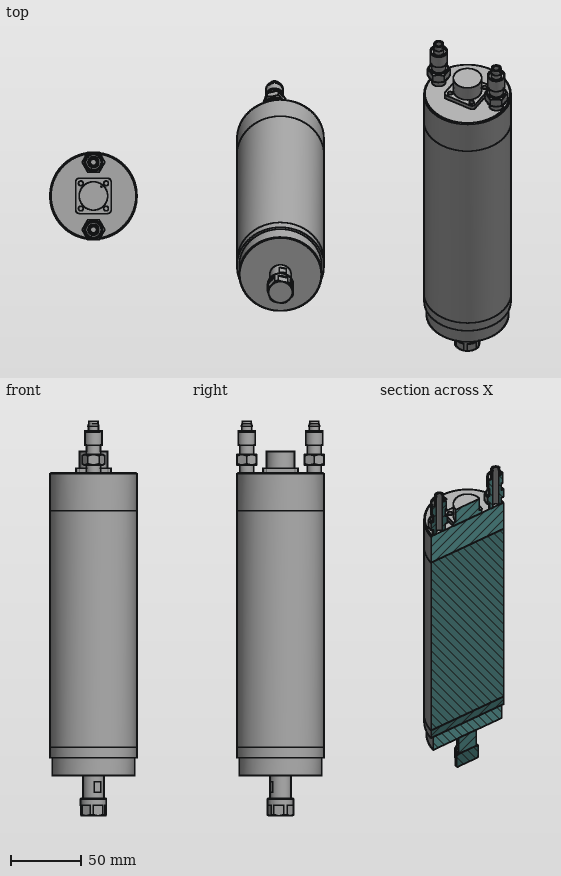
import cadquery as cq
import math

NUT_TOP = 12.5
NOSE_BOTTOM = 28.5
RING_BOTTOM = 41.3
HOUSING_BOTTOM = 49.0
CAP_BOTTOM = 217.2
CAP_TOP = 244.2
OVERALL_TOP = 281.0

HOUSING_DIAMETER = 62.0
CAP_CHAMFER = 0.8
NOSE_DIAMETER = 59.0
NOSE_CHAMFER = 0.5

SPINDLE_ANGLE = 22.5

SHAFT_DIAMETER = 15.2
SHAFT_ACROSS_FLATS = 14.3
SHAFT_FLAT_COUNT = 2
SHAFT_FLAT_BOTTOM = 17.0
SHAFT_FLAT_TOP = 24.2

NUT_DIAMETER = 18.5
NUT_ACROSS_FLATS = 17.1
NUT_FLAT_COUNT = 6
NUT_FLAT_TOP = 7.5
NUT_BOTTOM_CHAMFER = 0.8
NUT_TOP_CHAMFER = 0.5

FLANGE_SIDE = 25.0
FLANGE_THICKNESS = 3.5
FLANGE_CORNER_RADIUS = 2.2
FLANGE_HOLE_DIAMETER = 3.5
FLANGE_HOLE_SPACING = 18.0
PLUG_DIAMETER = 20.2
PLUG_TOP = 259.5

HEX_BOTTOM = 249.5
HEX_HEIGHT = 8.0
HEX_ACROSS_FLATS = 14.0
HEX_ACROSS_CORNERS = HEX_ACROSS_FLATS / math.cos(math.pi / 6)
HEX_CHAMFER_HEIGHT = 1.0
HEX_CHAMFER_DEPTH = 1.7
NECK_DIAMETER = 10.0
BARREL_DIAMETER = 12.5
BARREL_BOTTOM = 263.9
BARREL_TOP = 274.0
RECESS_DIAMETER = 11.0
RECESS_DEPTH = 0.8
NIPPLE_DIAMETER = 7.3
TIP_DIAMETER = 6.7
BARB_DIAMETER = 8.0
BARB_BOTTOM = 277.3
BARB_TOP = 279.0
BORE_DIAMETER = 4.5
FITTING_OFFSET = (HOUSING_DIAMETER - HEX_ACROSS_FLATS) / 2


def cylinder(diameter, bottom, top):
    """Cylinder about the Z axis between two heights."""
    return cq.Workplane("XY").workplane(offset=bottom).circle(diameter / 2).extrude(top - bottom)


def turn_about_z(body, angle):
    return body.rotate((0, 0, 0), (0, 0, 1), angle)


def cut_flats(body, diameter, across_flats, bottom, top, count):
    """Cut evenly spaced flats into a round body, the first one facing -Y."""
    flat_block = (
        cq.Workplane("XY")
        .box(diameter, diameter, top - bottom, centered=(True, False, False))
        .translate((0, -across_flats / 2 - diameter, bottom))
    )
    for index in range(count):
        body = body.cut(turn_about_z(flat_block, index * 360 / count))
    return body


def make_end_cap():
    return cylinder(HOUSING_DIAMETER, CAP_BOTTOM, CAP_TOP).faces(">Z").chamfer(CAP_CHAMFER)


def make_housing():
    return cylinder(HOUSING_DIAMETER, HOUSING_BOTTOM, CAP_BOTTOM)


def make_front_ring():
    return cylinder(HOUSING_DIAMETER, RING_BOTTOM, HOUSING_BOTTOM)


def make_nose():
    return cylinder(NOSE_DIAMETER, NOSE_BOTTOM, RING_BOTTOM).faces("<Z").chamfer(NOSE_CHAMFER)


def make_shaft():
    """Shaft between nose and nut, with two opposite wrench flats."""
    shaft = cut_flats(
        cylinder(SHAFT_DIAMETER, NUT_TOP, NOSE_BOTTOM),
        SHAFT_DIAMETER,
        SHAFT_ACROSS_FLATS,
        SHAFT_FLAT_BOTTOM,
        SHAFT_FLAT_TOP,
        SHAFT_FLAT_COUNT,
    )
    return turn_about_z(shaft, SPINDLE_ANGLE)


def make_collet_nut():
    """Round nut with wrench flats around its lower part."""
    blank = (
        cylinder(NUT_DIAMETER, 0, NUT_TOP)
        .faces("<Z")
        .chamfer(NUT_BOTTOM_CHAMFER)
        .faces(">Z")
        .chamfer(NUT_TOP_CHAMFER)
    )
    nut = cut_flats(blank, NUT_DIAMETER, NUT_ACROSS_FLATS, 0, NUT_FLAT_TOP, NUT_FLAT_COUNT)
    return turn_about_z(nut, SPINDLE_ANGLE)


def make_connector():
    """Round plug on a square flange with a hole in each corner."""
    flange = (
        cq.Workplane("XY")
        .workplane(offset=CAP_TOP)
        .rect(FLANGE_SIDE, FLANGE_SIDE)
        .extrude(FLANGE_THICKNESS)
        .edges("|Z")
        .fillet(FLANGE_CORNER_RADIUS)
        .faces(">Z")
        .workplane()
        .rect(FLANGE_HOLE_SPACING, FLANGE_HOLE_SPACING, forConstruction=True)
        .vertices()
        .hole(FLANGE_HOLE_DIAMETER)
    )
    return flange.union(cylinder(PLUG_DIAMETER, CAP_TOP + FLANGE_THICKNESS, PLUG_TOP))


def make_fitting_hexagon():
    """Hexagon with corners on the X axis, chamfered round at both ends."""
    hex_top = HEX_BOTTOM + HEX_HEIGHT
    prism = (
        cq.Workplane("XY")
        .workplane(offset=HEX_BOTTOM)
        .polygon(6, HEX_ACROSS_CORNERS)
        .extrude(HEX_HEIGHT)
    )
    chamfered_disc = (
        cylinder(HEX_ACROSS_CORNERS, HEX_BOTTOM, hex_top)
        .faces("<Z or >Z")
        .edges()
        .chamfer(HEX_CHAMFER_HEIGHT, HEX_CHAMFER_DEPTH)
    )
    return prism.intersect(chamfered_disc)


def make_nipple():
    """Nipple rising from the recess floor, with one tapered barb below its tip."""
    barb = (
        cq.Workplane("XY")
        .workplane(offset=BARB_BOTTOM)
        .circle(BARB_DIAMETER / 2)
        .workplane(offset=BARB_TOP - BARB_BOTTOM)
        .circle(TIP_DIAMETER / 2)
        .loft()
    )
    stem = cylinder(NIPPLE_DIAMETER, BARREL_TOP - RECESS_DEPTH, BARB_BOTTOM)
    tip = cylinder(TIP_DIAMETER, BARB_TOP, OVERALL_TOP)
    return stem.union(barb).union(tip)


def make_fitting(y):
    """Hose fitting standing on the end cap, with a bore along its whole length."""
    recess = cylinder(RECESS_DIAMETER, BARREL_TOP - RECESS_DEPTH, BARREL_TOP)
    barrel = cylinder(BARREL_DIAMETER, BARREL_BOTTOM, BARREL_TOP).cut(recess)
    fitting = (
        cylinder(NECK_DIAMETER, CAP_TOP, BARREL_BOTTOM)
        .union(make_fitting_hexagon())
        .union(barrel)
        .union(make_nipple())
        .cut(cylinder(BORE_DIAMETER, CAP_TOP, OVERALL_TOP))
    )
    return fitting.translate((0, y, 0))


end_cap = make_end_cap()
housing = make_housing()
front_ring = make_front_ring()
nose = make_nose()
shaft = make_shaft()
collet_nut = make_collet_nut()
connector = make_connector()
fittings = [make_fitting(side * FITTING_OFFSET) for side in (-1, 1)]

result = cq.Compound.makeCompound(
    [
        end_cap.val(),
        housing.val(),
        front_ring.val(),
        nose.val(),
        shaft.val(),
        collet_nut.val(),
        connector.val(),
        *[fitting.val() for fitting in fittings],
    ]
)